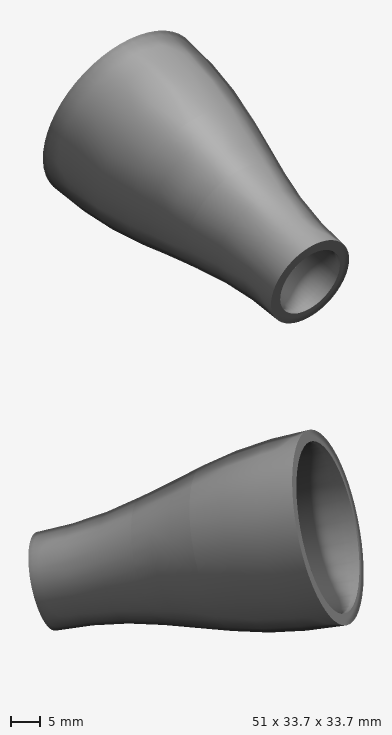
import cadquery as cq
import math

LENGTH = 51.0
LARGE_OUTER_DIAMETER = 33.7
SMALL_OUTER_DIAMETER = 17.0
WALL_THICKNESS = 2.0
BEND_RADIUS = 75.5


def reducer_body(large_radius, small_radius):
    """Solid of revolution: convex arc, straight cone and concave arc, all tangent."""
    centre_rise = 2 * BEND_RADIUS - (large_radius - small_radius)
    centre_distance = math.hypot(LENGTH, centre_rise)
    cone_angle = math.atan2(LENGTH, centre_rise) - math.acos(2 * BEND_RADIUS / centre_distance)

    def bend_offset(angle):
        """Axial run and radial change along a bend, measured from its end face."""
        return BEND_RADIUS * math.sin(angle), BEND_RADIUS * (1 - math.cos(angle))

    end_run, end_drop = bend_offset(cone_angle)
    mid_run, mid_drop = bend_offset(cone_angle / 2)

    profile = (
        cq.Workplane("XZ")
        .lineTo(0, large_radius)
        .threePointArc((mid_run, large_radius - mid_drop), (end_run, large_radius - end_drop))
        .lineTo(LENGTH - end_run, small_radius + end_drop)
        .threePointArc((LENGTH - mid_run, small_radius + mid_drop), (LENGTH, small_radius))
        .lineTo(LENGTH, 0)
        .close()
    )
    return profile.revolve(360, (0, 0, 0), (1, 0, 0))


large_outer_radius = LARGE_OUTER_DIAMETER / 2
small_outer_radius = SMALL_OUTER_DIAMETER / 2

outer_body = reducer_body(large_outer_radius, small_outer_radius)
bore = reducer_body(large_outer_radius - WALL_THICKNESS, small_outer_radius - WALL_THICKNESS)
result = outer_body.cut(bore)